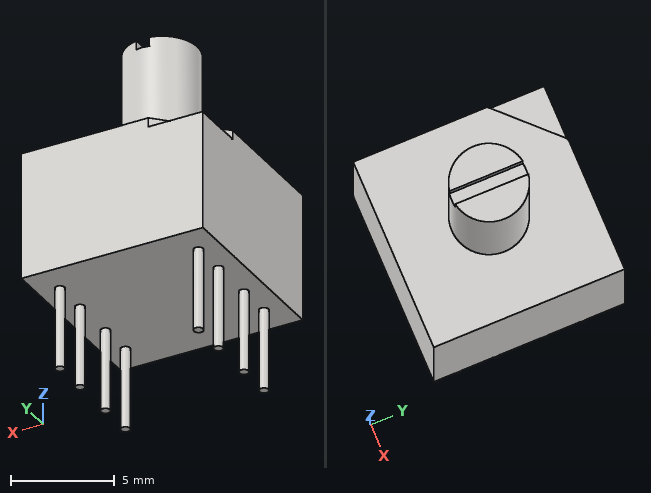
import cadquery as cq

body_side = 10.0
body_height = 7.0

corner_leg = 3.0
corner_depth = 0.5

shaft_diameter = 3.9
shaft_length = 6.6
slot_width = 0.7
slot_depth = 0.5

pin_diameter = 0.5
pin_length = 4.5
row_spacing = 7.62
inner_pin_spacing = 2.54
outer_pin_pitch = 2.0

half_side = body_side / 2
shaft_top = body_height + shaft_length
inner_pin_y = inner_pin_spacing / 2
outer_pin_y = inner_pin_y + outer_pin_pitch


def make_body():
    """Square block with the corner of its top face lowered."""
    block = cq.Workplane("XY").box(body_side, body_side, body_height, centered=(True, True, False))
    corner_step = (
        cq.Workplane("XY", origin=(-half_side, half_side, body_height))
        .polyline([(0, 0), (corner_leg, 0), (0, -corner_leg)])
        .close()
        .extrude(-corner_depth)
    )
    return block.cut(corner_step)


def make_shaft():
    """Shaft on the top face, slotted along Y at its free end."""
    shaft = cq.Workplane("XY").workplane(offset=body_height).circle(shaft_diameter / 2).extrude(shaft_length)
    slot = (
        cq.Workplane("XY")
        .workplane(offset=shaft_top)
        .rect(slot_width, body_side)
        .extrude(-slot_depth)
    )
    return shaft.cut(slot)


def make_pins():
    """Four pins in each row, mirrored about both centre planes."""
    positions = [
        (row_side * row_spacing / 2, y)
        for row_side in (-1, 1)
        for y in (-outer_pin_y, -inner_pin_y, inner_pin_y, outer_pin_y)
    ]
    return cq.Workplane("XY").pushPoints(positions).circle(pin_diameter / 2).extrude(-pin_length)


result = make_body().union(make_shaft()).union(make_pins())